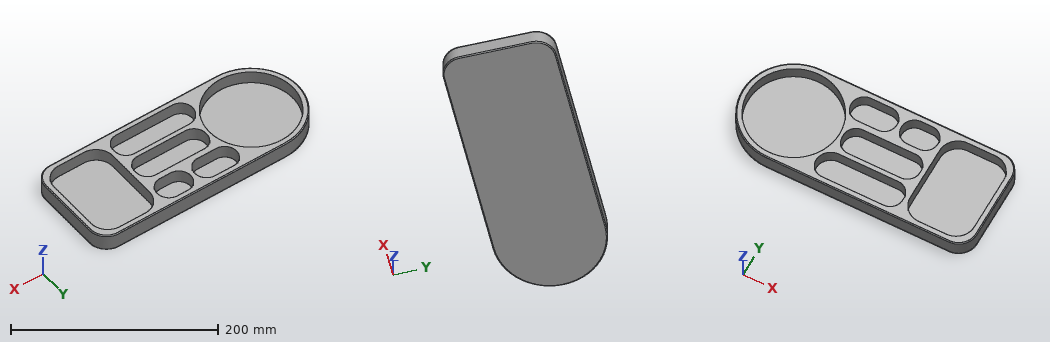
import cadquery as cq

length = 276.0
width = 112.0
height = 20.0
corner_radius = 20.0
edge_chamfer = 1.0

rim = 6.0
gap = 5.0
pocket_depth = 15.0
round_diameter = 100.0
large_pocket_length = 70.0
large_pocket_radius = 20.0
slot_width = 30.0
slot_radius = 13.8
clearance_radius = 16.0
small_slot_width = 28.5
small_slot_radius = 13.8
outer_slot_length = 95.0
middle_slot_length = 85.0
small_slot_length = 40.0

end_radius = width / 2
right_end = length - end_radius
inner_half_width = end_radius - rim
large_pocket_right = right_end - rim
large_pocket_left = large_pocket_right - large_pocket_length
slot_right = large_pocket_left - gap
outer_slot_left = slot_right - outer_slot_length
small_slot_left = slot_right - small_slot_length
small_slot_y = inner_half_width - small_slot_width / 2
outer_slot_y = slot_width / 2 - inner_half_width
floor_height = height - pocket_depth


def make_body():
    """Plate with a semicircular left end and chamfered outer edges."""
    plate = (
        cq.Workplane("XY")
        .moveTo(0, end_radius)
        .threePointArc((-end_radius, 0), (0, -end_radius))
        .lineTo(right_end, -end_radius)
        .lineTo(right_end, end_radius)
        .close()
        .extrude(height)
    )
    plate = plate.edges("|Z and >X").fillet(corner_radius)
    return plate.faces("<Z or >Z").edges().chamfer(edge_chamfer)


def rounded_pocket(left, right, y_center, y_size, radius, upper_left_radius):
    """Cutter for a rounded pocket whose -X, +Y corner may have its own radius."""
    upper_left = (left, y_center + y_size / 2, floor_height + pocket_depth / 2)
    return (
        cq.Workplane("XY", origin=((left + right) / 2, y_center, floor_height))
        .rect(right - left, y_size)
        .extrude(pocket_depth)
        .edges("(|Z) and (not (<X and >Y))")
        .fillet(radius)
        .edges(cq.selectors.NearestToPointSelector(upper_left))
        .fillet(upper_left_radius)
    )


def round_pocket():
    """Cutter for the circular pocket concentric with the round end."""
    return (
        cq.Workplane("XY", origin=(0, 0, floor_height))
        .circle(round_diameter / 2)
        .extrude(pocket_depth)
    )


pockets = [
    (
        large_pocket_left,
        large_pocket_right,
        0,
        2 * inner_half_width,
        large_pocket_radius,
        large_pocket_radius,
    ),
    (
        outer_slot_left,
        small_slot_left - gap,
        small_slot_y,
        small_slot_width,
        small_slot_radius,
        small_slot_radius,
    ),
    (
        small_slot_left,
        slot_right,
        small_slot_y,
        small_slot_width,
        small_slot_radius,
        small_slot_radius,
    ),
    (slot_right - middle_slot_length, slot_right, 0, slot_width, slot_radius, slot_radius),
    (outer_slot_left, slot_right, outer_slot_y, slot_width, slot_radius, clearance_radius),
]

result = make_body().cut(round_pocket())
for pocket in pockets:
    result = result.cut(rounded_pocket(*pocket))